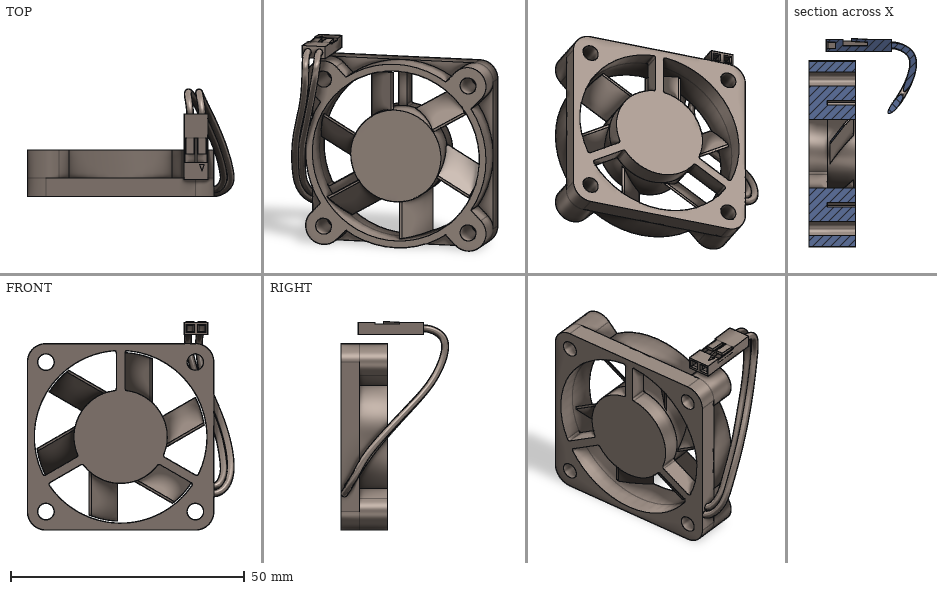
import cadquery as cq
import math

FRAME_SIDE = 40.0
FRAME_DEPTH = 10.0
PLATE_DEPTH = 4.0
CORNER_RADIUS = 4.0
SCREW_HOLE_DIAMETER = 3.5
BORE_DIAMETER = 37.0
HUB_DIAMETER = 20.0
SPOKE_COUNT = 3
SPOKE_WIDTH = 1.9
WINDOW_FILLET = 0.5

BLADE_COUNT = 6
BLADE_BACK_OFFSET = 0.65
BLADE_FRONT_OFFSET = 6.25
BLADE_EDGE_WIDTH = 0.55
BLADE_TIP_GAP = 0.4
BLADE_INSET = 0.5

PLUG_WIDTH = 5.1
PLUG_HEIGHT = 2.65
PLUG_LENGTH = 14.1
PLUG_FRONT = 3.65
PLUG_BOTTOM = 21.9
PLUG_MIDDLE_X = 16.15
CONTACT_PITCH = 2.55
SOCKET_MOUTH_WIDTH = 1.85
SOCKET_MOUTH_HEIGHT = 1.65
SOCKET_WIDTH = 1.3
SOCKET_LEAD_IN = 0.45
SOCKET_DEPTH = 2.0
NOTCH_FRONT = 7.35
NOTCH_BACK = 12.52
NOTCH_DEPTH = 0.35
LATCH_OPENING_WIDTH = 2.1
LATCH_OPENING_DEPTH = 1.35
LATCH_WIDTH = 1.7
LATCH_FRONT = 9.12
LATCH_RISE = 0.2
LATCH_THICKNESS = 0.65
MARK_WIDTH = 0.95
MARK_LENGTH = 1.35
MARK_BACK = 6.85
MARK_DEPTH = 0.1

WIRE_DIAMETER = 1.48

half_side = FRAME_SIDE / 2
hole_offset = half_side - CORNER_RADIUS
bore_radius = BORE_DIAMETER / 2
plug_top = PLUG_BOTTOM + PLUG_HEIGHT
plug_back = PLUG_FRONT + PLUG_LENGTH
plug_middle_z = PLUG_BOTTOM + PLUG_HEIGHT / 2
contact_places = [PLUG_MIDDLE_X - CONTACT_PITCH / 2, PLUG_MIDDLE_X + CONTACT_PITCH / 2]


def section_at(depth):
    """Workplane across the fan axis at a depth; negative extrusion runs toward the back."""
    return cq.Workplane("XZ", origin=(0, depth, 0))


def rod(diameter, front, back):
    return section_at(front).circle(diameter / 2).extrude(front - back)


def turned(shape, angle):
    """Copy of a shape turned about the fan axis."""
    return shape.rotate((0, 0, 0), (0, 1, 0), angle)


def centered_box(x, y_front, z, width, length, height):
    """Box centred on x and z that starts at y_front."""
    return (
        cq.Workplane("XY")
        .box(width, length, height, centered=(True, False, True))
        .translate((x, y_front, z))
    )


def make_airflow_windows():
    """Three ring sectors that leave the hub and the spokes standing in the front plate."""
    windows = rod(BORE_DIAMETER, 0, PLATE_DEPTH).cut(rod(HUB_DIAMETER, 0, PLATE_DEPTH))
    spoke = centered_box(0, 0, half_side / 2, SPOKE_WIDTH, PLATE_DEPTH, half_side)
    for i in range(SPOKE_COUNT):
        windows = windows.cut(turned(spoke, i * 360 / SPOKE_COUNT))
    return windows.edges("|Y").fillet(WINDOW_FILLET)


def make_housing():
    plate = section_at(0).rect(FRAME_SIDE, FRAME_SIDE).extrude(-PLATE_DEPTH)
    plate = plate.edges("|Y").fillet(CORNER_RADIUS)
    plate = plate.cut(make_airflow_windows())

    corner_distance = hole_offset * math.sqrt(2)
    shroud = rod(FRAME_SIDE, PLATE_DEPTH, FRAME_DEPTH)
    lobes_length = 2 * (corner_distance + CORNER_RADIUS)
    for angle in (45, 135):
        lobes = section_at(PLATE_DEPTH).slot2D(lobes_length, 2 * CORNER_RADIUS, angle)
        shroud = shroud.union(lobes.extrude(PLATE_DEPTH - FRAME_DEPTH))
    shroud = shroud.cut(rod(BORE_DIAMETER, PLATE_DEPTH, FRAME_DEPTH))

    screw_holes = (
        section_at(0)
        .rect(2 * hole_offset, 2 * hole_offset, forConstruction=True)
        .vertices()
        .circle(SCREW_HOLE_DIAMETER / 2)
        .extrude(-FRAME_DEPTH)
    )
    return plate.union(shroud, clean=False).cut(screw_holes)


def make_impeller():
    """Hub behind the fixed front disc, with slanted blades that stop short of its ends."""
    impeller = rod(HUB_DIAMETER, PLATE_DEPTH, FRAME_DEPTH)
    tip_radius = bore_radius - BLADE_TIP_GAP
    blade_front = PLATE_DEPTH + BLADE_INSET
    blade_back = FRAME_DEPTH - BLADE_INSET
    blade = (
        cq.Workplane("XY")
        .moveTo(BLADE_FRONT_OFFSET, blade_front)
        .lineTo(BLADE_FRONT_OFFSET + BLADE_EDGE_WIDTH, blade_front)
        .lineTo(BLADE_BACK_OFFSET + BLADE_EDGE_WIDTH, blade_back)
        .lineTo(BLADE_BACK_OFFSET, blade_back)
        .close()
        .extrude(bore_radius)
        .intersect(rod(2 * tip_radius, PLATE_DEPTH, FRAME_DEPTH))
    )
    for i in range(BLADE_COUNT):
        impeller = impeller.union(turned(blade, i * 360 / BLADE_COUNT))
    return impeller


def make_socket(x):
    """Square contact hole with a tapered mouth in the front end of the plug."""
    mouth = (
        cq.Workplane("XZ", origin=(x, PLUG_FRONT, plug_middle_z))
        .rect(SOCKET_MOUTH_WIDTH, SOCKET_MOUTH_HEIGHT)
        .workplane(offset=-SOCKET_LEAD_IN)
        .rect(SOCKET_WIDTH, SOCKET_WIDTH)
        .loft()
    )
    hole = centered_box(x, PLUG_FRONT, plug_middle_z, SOCKET_WIDTH, SOCKET_DEPTH, SOCKET_WIDTH)
    return mouth.union(hole)


def make_latch(x):
    """Spring tongue that rises toward its free front end."""
    return (
        cq.Workplane("YZ", origin=(x - LATCH_WIDTH / 2, 0, 0))
        .moveTo(NOTCH_BACK, plug_top)
        .lineTo(LATCH_FRONT, plug_top + LATCH_RISE)
        .lineTo(LATCH_FRONT, plug_top + LATCH_RISE - LATCH_THICKNESS)
        .lineTo(NOTCH_BACK, plug_top - LATCH_THICKNESS)
        .close()
        .extrude(LATCH_WIDTH)
    )


def make_first_contact_mark():
    """Shallow triangle sunk into the top of the plug, pointing at the right contact."""
    x = contact_places[1]
    return (
        cq.Workplane("XY", origin=(0, 0, plug_top))
        .moveTo(x - MARK_WIDTH / 2, MARK_BACK)
        .lineTo(x + MARK_WIDTH / 2, MARK_BACK)
        .lineTo(x, MARK_BACK - MARK_LENGTH)
        .close()
        .extrude(-MARK_DEPTH)
    )


def make_plug():
    plug = centered_box(PLUG_MIDDLE_X, PLUG_FRONT, plug_middle_z, PLUG_WIDTH, PLUG_LENGTH, PLUG_HEIGHT)
    notch_length = NOTCH_BACK - NOTCH_FRONT
    plug = plug.cut(
        centered_box(PLUG_MIDDLE_X, NOTCH_FRONT, plug_top, PLUG_WIDTH, notch_length, 2 * NOTCH_DEPTH)
    )
    plug = plug.cut(make_first_contact_mark())
    for x in contact_places:
        opening = centered_box(
            x, NOTCH_FRONT, plug_top, LATCH_OPENING_WIDTH, notch_length, 2 * LATCH_OPENING_DEPTH
        )
        plug = plug.cut(opening)
        plug = plug.cut(make_socket(x))
        plug = plug.union(make_latch(x))
    return plug


def make_wire(points):
    """Round wire that leaves the plug backward and meets the side of the housing squarely."""
    path = cq.Workplane("XY").spline(points, tangents=[(0, 1, 0), (-1, 0, 0)], scale=False)
    return cq.Workplane("XZ", origin=points[0]).circle(WIRE_DIAMETER / 2).sweep(path)


left_wire_path = [
    (contact_places[0], plug_back, plug_middle_z),
    (14.4, 21.87, 21.2),
    (15.3, 21.6, 16.0),
    (18.5, 15.3, 6.75),
    (20.65, 10.3, 1.25),
    (22.0, 5.0, -5.4),
    (21.7, 2.7, -8.95),
    (half_side, 1.5, -10.55),
]
right_wire_path = [
    (contact_places[1], plug_back, plug_middle_z),
    (16.85, 21.87, 21.2),
    (17.15, 21.6, 16.0),
    (20.15, 15.3, 6.95),
    (22.8, 8.15, -0.75),
    (23.55, 4.9, -4.9),
    (23.3, 2.77, -8.8),
    (22.05, 1.45, -11.1),
    (half_side, 0.75, -12.1),
]

housing = make_housing()
impeller = make_impeller()
plug = make_plug()
wires = [make_wire(path) for path in (left_wire_path, right_wire_path)]

result = cq.Compound.makeCompound(
    [housing.val(), impeller.val(), plug.val(), *[wire.val() for wire in wires]]
)